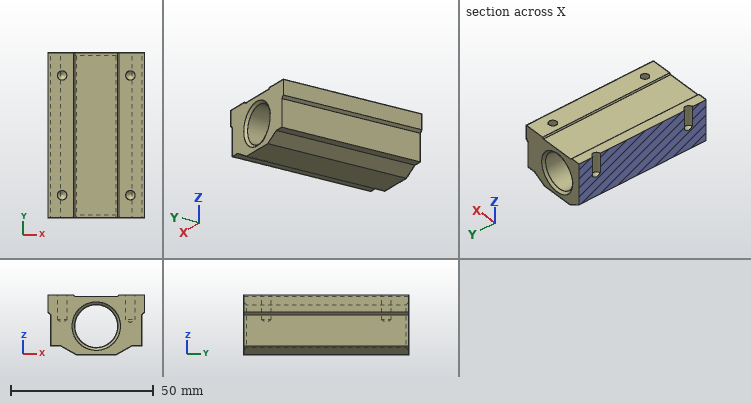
import cadquery as cq
import math

length = 58.0
width = 34.0
height = 21.0

flange_height = 6.05
flange_overhang = 1.0

groove_floor_width = 15.0
groove_depth = 0.495

foot_height = 3.1
foot_top_width = 25.0
foot_bottom_width = 14.0

bore_diameter = 15.0
bore_axis_height = 10.05
bore_chamfer = 1.0

hole_diameter = 3.3
hole_depth = 8.7
hole_tip_angle = 118.0
hole_spacing_x = 23.95
hole_spacing_y = 42.0


def make_body():
    """Extrude the symmetric cross-section along Y, centred on the origin."""
    half_width = width / 2
    half_body = half_width - flange_overhang
    half_groove = groove_floor_width / 2
    flange_bottom = height - flange_height
    right_half = [
        (foot_bottom_width / 2, 0),
        (foot_top_width / 2, foot_height),
        (half_body, foot_height),
        (half_body, flange_bottom - flange_overhang),
        (half_width, flange_bottom),
        (half_width, height),
        (half_groove + groove_depth, height),
        (half_groove, height - groove_depth),
    ]
    left_half = [(-x, z) for x, z in reversed(right_half)]
    profile = cq.Workplane("XZ").polyline(right_half + left_half).close()
    return profile.extrude(length / 2, both=True)


def make_bore():
    """Revolve the bore and its two end chamfers about the bore axis."""
    radius = bore_diameter / 2
    mouth_radius = radius + bore_chamfer
    end = length / 2
    half_section = [
        (0, -end),
        (mouth_radius, -end),
        (radius, -end + bore_chamfer),
        (radius, end - bore_chamfer),
        (mouth_radius, end),
        (0, end),
    ]
    bore = cq.Workplane("XY").polyline(half_section).close().revolve(360, (0, 0), (0, 1))
    return bore.translate((0, 0, bore_axis_height))


def make_mounting_holes():
    """Revolve one drilled hole per corner, opening on the top face."""
    radius = hole_diameter / 2
    tip_length = radius / math.tan(math.radians(hole_tip_angle / 2))
    half_section = [
        (0, 0),
        (radius, 0),
        (radius, -hole_depth),
        (0, -hole_depth - tip_length),
    ]
    drill = cq.Workplane("XZ").polyline(half_section).close().revolve(360, (0, 0), (0, 1))
    holes = cq.Workplane("XY")
    for side_x in (-1, 1):
        for side_y in (-1, 1):
            place = (side_x * hole_spacing_x / 2, side_y * hole_spacing_y / 2, height)
            holes = holes.add(drill.translate(place))
    return holes.combine()


result = make_body().cut(make_bore()).cut(make_mounting_holes())